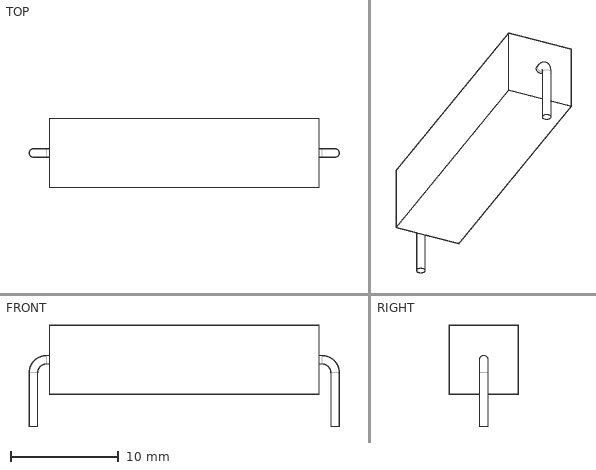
import cadquery as cq

body_length = 25.0
body_width = 6.4
body_height = 6.4

lead_diameter = 0.8
lead_pitch = 27.94
lead_drop = 3.0
bend_radius = 1.2

lead_axis_z = body_height / 2
leg_x = lead_pitch / 2
bend_start_x = leg_x - bend_radius
bend_end_z = lead_axis_z - bend_radius
lead_embed = 1.0
lead_start_x = body_length / 2 - lead_embed


def make_body():
    """Rectangular block resting on Z = 0."""
    return cq.Workplane("XY").box(
        body_length, body_width, body_height, centered=(True, True, False)
    )


def make_right_lead():
    """Round wire leaving the +X end face and bending down."""
    path = (
        cq.Workplane("XZ")
        .moveTo(lead_start_x, lead_axis_z)
        .lineTo(bend_start_x, lead_axis_z)
        .tangentArcPoint((leg_x, bend_end_z), relative=False)
        .lineTo(leg_x, -lead_drop)
    )
    section = cq.Workplane("YZ", origin=(lead_start_x, 0, lead_axis_z)).circle(lead_diameter / 2)
    return section.sweep(path)


right_lead = make_right_lead()
left_lead = right_lead.mirror("YZ")
result = make_body().union(right_lead).union(left_lead)